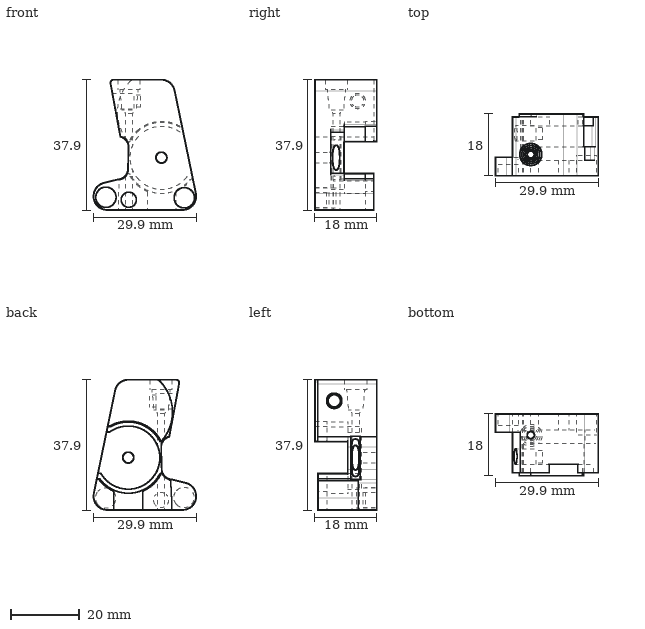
import cadquery as cq
import math

total_height = 37.88
body_depth = 17.12
pad_depth = 17.95
overshoot = 1.9

corner_radius = 4.0
foot_center = (corner_radius, corner_radius)
heel_center = (25.85, corner_radius)
shoulder_center = (19.65, total_height - corner_radius)
brow_radius = 1.0
brow_center = (5.9, total_height - brow_radius)
front_lean = 10.5
foot_slope = 13.0

pocket_radius = 3.0
pocket_low_center = (7.0, 11.9)
pocket_high_center = (7.15, 18.35)
pocket_mouth = 3.8
relief_depth = 0.1
relief_span = (4.8, 7.55)

foot_depth = 5.38
step_profile = [(7.15, 3.55), (7.42, 8.52), (8.03, 9.1)]

axle_center = (19.75, 15.23)
axle_radius = 1.55
inner_cavity_radius = 9.15
inner_cavity_start = 4.55
outer_cavity_radius = 10.35
outer_cavity_start = 8.5
rear_cavity_radius = 10.6
rear_cavity_start = 14.55
rear_slot_width = 8.35
lip_radius = 0.6

pad_center = (axle_center[0], 28.45)
pad_radius = 12.85
pad_blend_radius = 2.0

front_holes = [
    ((3.65, 3.7), 2.95, 3.3),
    ((10.25, 3.0), 2.2, 4.0),
    ((26.35, 3.55), 2.95, 6.0),
]

bore_center = (10.25, 6.17)
bore_radius = 1.02
counterbore_radius = 3.22
counterbore_depth = 2.85
taper_top_radius = 2.65
taper_bottom_radius = 2.1
taper_depth = 6.0
funnel_radius = 1.55
funnel_depth = 1.0

side_hole_y = 12.35
side_hole_z = 31.7
side_hole_radius = 2.25
side_hole_end = 11.75
side_tip_radius = 1.78
side_tip_length = 1.9


def plane_at(y):
    """Work plane facing the front, with local axes X and Z, at depth y."""
    return cq.Workplane("XZ", origin=(0, y, 0))


def disc(center, radius, y_start, y_end):
    """Cylinder along Y."""
    return plane_at(y_start).center(*center).circle(radius).extrude(y_start - y_end)


def on_circle(center, radius, degrees):
    """Point on a circle at an angle from +X."""
    angle = math.radians(degrees)
    return (center[0] + radius * math.cos(angle), center[1] + radius * math.sin(angle))


def side_prism(depth):
    """Side outline, before the pocket is cut, extruded from the front face."""
    rear_lean = math.degrees(
        math.atan2(heel_center[0] - shoulder_center[0], shoulder_center[1] - heel_center[1])
    )
    brow_end = on_circle(brow_center, brow_radius, 180 + front_lean)
    pocket_top = pocket_high_center[1] + pocket_radius
    drop = brow_end[1] - pocket_top
    pocket_edge = (brow_end[0] + drop * math.tan(math.radians(front_lean)), pocket_top)
    pocket_bottom = (pocket_low_center[0], pocket_low_center[1] - pocket_radius)
    heel_mid = (rear_lean - 90) / 2
    shoulder_mid = (rear_lean + 90) / 2
    return (
        plane_at(0)
        .moveTo(foot_center[0], 0)
        .lineTo(heel_center[0], 0)
        .threePointArc(
            on_circle(heel_center, corner_radius, heel_mid),
            on_circle(heel_center, corner_radius, rear_lean),
        )
        .lineTo(*on_circle(shoulder_center, corner_radius, rear_lean))
        .threePointArc(
            on_circle(shoulder_center, corner_radius, shoulder_mid),
            on_circle(shoulder_center, corner_radius, 90),
        )
        .lineTo(brow_center[0], total_height)
        .threePointArc(on_circle(brow_center, brow_radius, 135), brow_end)
        .lineTo(*pocket_edge)
        .lineTo(*pocket_bottom)
        .lineTo(*on_circle(foot_center, corner_radius, 90 + foot_slope))
        .threePointArc(on_circle(foot_center, corner_radius, 180), (foot_center[0], 0))
        .close()
        .extrude(-depth)
    )


def pocket_cutter(radius, y_start, y_end):
    """Pocket with two rounded inner corners and a nearly vertical inner wall."""
    low, high = pocket_low_center, pocket_high_center
    return (
        plane_at(y_start)
        .moveTo(pocket_mouth, high[1] + radius)
        .lineTo(high[0], high[1] + radius)
        .threePointArc(on_circle(high, radius, 45), on_circle(high, radius, 0))
        .lineTo(*on_circle(low, radius, 0))
        .threePointArc(on_circle(low, radius, -45), on_circle(low, radius, -90))
        .lineTo(pocket_mouth, low[1] - radius)
        .close()
        .extrude(y_start - y_end)
    )


def step_cutter():
    """Space behind the foot, left of the main block."""
    first, last = step_profile[0], step_profile[-1]
    outline = [(-overshoot, -overshoot), (first[0], -overshoot)]
    outline += step_profile + [(-overshoot, last[1])]
    return plane_at(foot_depth).polyline(outline).close().extrude(foot_depth - pad_depth)


def lip_edges(body, radius):
    """Edges along Y that lie on a cavity wall of the given radius."""
    tolerance = 0.005
    edges = []
    for edge in body.edges("|Y").vals():
        place = edge.Center()
        reach = math.hypot(place.x - axle_center[0], place.z - axle_center[1])
        if abs(reach - radius) < tolerance:
            edges.append(edge)
    return edges


def rear_slot():
    """Slot below the axle in the rear layer."""
    height = axle_center[1] + overshoot
    return (
        plane_at(rear_cavity_start)
        .center(axle_center[0], axle_center[1] - height / 2)
        .rect(rear_slot_width, height)
        .extrude(rear_cavity_start - pad_depth)
    )


def pad_surround():
    """Rear layer outside the raised pad; the pad rim blends into the top face."""
    blend_z = total_height - pad_blend_radius
    blend_reach = pad_radius - pad_blend_radius
    blend_angle = math.degrees(math.asin((blend_z - pad_center[1]) / blend_reach))
    blend_center = on_circle(pad_center, blend_reach, 180 - blend_angle)
    rim_start = on_circle(pad_center, pad_radius, 180 - blend_angle)
    left = -overshoot
    right = heel_center[0] + corner_radius + overshoot
    return (
        plane_at(body_depth)
        .moveTo(left, total_height)
        .lineTo(blend_center[0], total_height)
        .threePointArc(
            on_circle(blend_center, pad_blend_radius, 135 - blend_angle / 2),
            rim_start,
        )
        .threePointArc(
            on_circle(pad_center, pad_radius, 180),
            on_circle(pad_center, pad_radius, 270),
        )
        .threePointArc(
            on_circle(pad_center, pad_radius, 315),
            on_circle(pad_center, pad_radius, 360),
        )
        .lineTo(right, pad_center[1])
        .lineTo(right, -overshoot)
        .lineTo(left, -overshoot)
        .close()
        .extrude(body_depth - pad_depth)
    )


def top_bore():
    """Revolved cutter: counterbore, taper, funnel and through bore."""
    taper_start = total_height - counterbore_depth
    funnel_start = taper_start - taper_depth
    profile = [
        (0, -overshoot),
        (bore_radius, -overshoot),
        (bore_radius, funnel_start - funnel_depth),
        (funnel_radius, funnel_start),
        (taper_bottom_radius, funnel_start),
        (taper_top_radius, taper_start),
        (counterbore_radius, taper_start),
        (counterbore_radius, total_height),
        (0, total_height),
    ]
    cutter = cq.Workplane("XZ").polyline(profile).close().revolve(360, (0, 0), (0, 1))
    return cutter.translate((bore_center[0], bore_center[1], 0))


def side_hole():
    """Stepped blind hole along X."""
    start = cq.Workplane("YZ").center(side_hole_y, side_hole_z)
    wide = start.circle(side_hole_radius).extrude(side_hole_end)
    tip = start.circle(side_tip_radius).extrude(side_hole_end + side_tip_length)
    return wide.union(tip)


result = side_prism(pad_depth).cut(pocket_cutter(pocket_radius, 0, pad_depth))

result = result.cut(disc(axle_center, inner_cavity_radius, inner_cavity_start, pad_depth))
result = result.cut(disc(axle_center, outer_cavity_radius, outer_cavity_start, pad_depth))
lips = lip_edges(result, inner_cavity_radius) + lip_edges(result, outer_cavity_radius)
result = result.newObject(lips).fillet(lip_radius)
result = result.cut(disc(axle_center, rear_cavity_radius, rear_cavity_start, pad_depth))
result = result.cut(rear_slot())
result = result.cut(disc(axle_center, axle_radius, 0, pad_depth))

result = result.cut(pad_surround())
result = result.cut(step_cutter())
result = result.cut(pocket_cutter(pocket_radius + relief_depth, *relief_span))

for hole_center, hole_radius, hole_depth in front_holes:
    result = result.cut(disc(hole_center, hole_radius, 0, hole_depth))
result = result.cut(top_bore())
result = result.cut(side_hole())